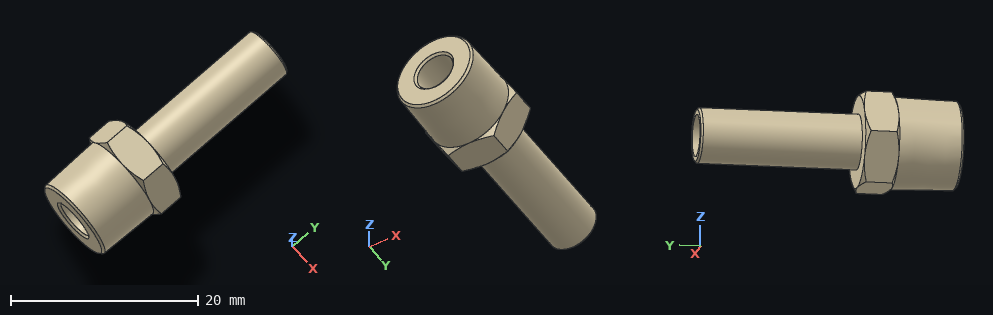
import cadquery as cq
import math

total_length = 28.3
plug_length = 7.08
hex_length = 3.7
hex_across_flats = 10.0
hex_corner_diameter = hex_across_flats / math.cos(math.radians(30))

plug_base_diameter = 10.0
plug_end_diameter = 9.62
plug_chamfer = 0.25

stem_diameter = 6.0
stem_chamfer = 0.23

bore_diameter = 4.5
bore_chamfer = 0.25

hex_chamfer_angle = 30.0
hex_face_diameter = 10.0

hex_end = plug_length + hex_length


def revolve_about_y(points):
    """Revolve a closed (radius, y) outline about the Y axis."""
    return cq.Workplane("XY").polyline(points).close().revolve(360, (0, 0, 0), (0, 1, 0))


def make_plug():
    end_radius = plug_end_diameter / 2
    return revolve_about_y([
        (0, 0),
        (end_radius - plug_chamfer, 0),
        (end_radius, plug_chamfer),
        (plug_base_diameter / 2, plug_length),
        (0, plug_length),
    ])


def make_hexagon():
    """Hexagon with corners on X, its corners trimmed by a cone at both ends."""
    prism = (
        cq.Workplane("XZ", origin=(0, hex_end, 0))
        .polygon(6, hex_corner_diameter)
        .extrude(hex_length)
    )
    face_radius = hex_face_diameter / 2
    corner_radius = hex_corner_diameter / 2
    drop = (corner_radius - face_radius) * math.tan(math.radians(hex_chamfer_angle))
    trimming_body = revolve_about_y([
        (0, plug_length),
        (face_radius, plug_length),
        (corner_radius, plug_length + drop),
        (corner_radius, hex_end - drop),
        (face_radius, hex_end),
        (0, hex_end),
    ])
    return prism.intersect(trimming_body)


def make_stem():
    radius = stem_diameter / 2
    return revolve_about_y([
        (0, plug_length),
        (radius, plug_length),
        (radius, total_length - stem_chamfer),
        (radius - stem_chamfer, total_length),
        (0, total_length),
    ])


def make_bore():
    """Through bore with a chamfered mouth at the plug end."""
    radius = bore_diameter / 2
    return revolve_about_y([
        (0, 0),
        (radius + bore_chamfer, 0),
        (radius, bore_chamfer),
        (radius, total_length),
        (0, total_length),
    ])


result = make_plug().union(make_hexagon()).union(make_stem()).cut(make_bore())